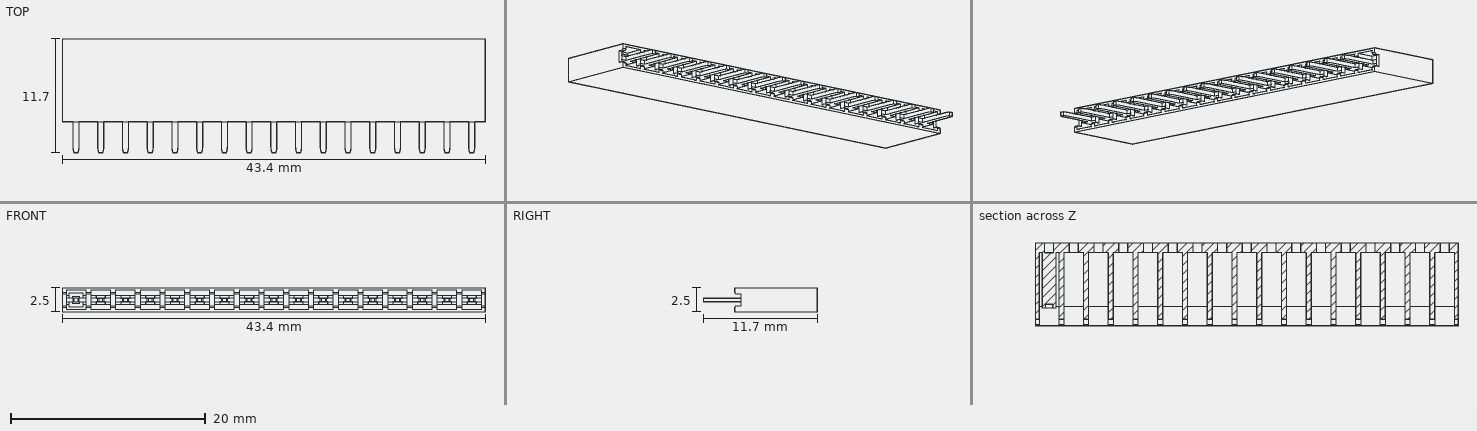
import cadquery as cq


pin_count = 17
pitch = 2.54
row_margin = 0.25
key_position = 0

housing_length = pin_count * pitch + row_margin
housing_depth = 8.5
housing_height = 2.5

channel_depth = 0.65
channel_height = 1.2
channel_mouth_height = 1.5
channel_flare_depth = 0.15

pocket_size = 2.0
pocket_depth = 2.0
contact_slot_height = 0.92
back_wall = 1.0
mating_hole_size = 0.9

contact_thickness = 0.4
blade_setback = 0.8
tail_width = 0.64
tail_length = 3.2
tail_tip_width = 0.4
tail_tip_length = 0.6

plug_size = 1.44
plug_recess_size = 0.72
plug_projection = 0.2
plug_recess_depth = 0.4

slot_end = housing_depth - back_wall
overlap = 0.05
pin_positions = [(i - (pin_count - 1) / 2) * pitch for i in range(pin_count)]


def block(x_center, width, height, y_start, y_end):
    """Box centred on the row plane, spanning y_start to y_end."""
    return (
        cq.Workplane("XY")
        .box(width, y_end - y_start, height)
        .translate((x_center, (y_start + y_end) / 2, 0))
    )


def make_channel():
    """Flared groove running the full length of the terminal face."""
    half_height = channel_height / 2
    half_mouth = channel_mouth_height / 2
    return (
        cq.Workplane("YZ")
        .moveTo(0, -half_mouth)
        .lineTo(channel_flare_depth, -half_height)
        .lineTo(channel_depth, -half_height)
        .lineTo(channel_depth, half_height)
        .lineTo(channel_flare_depth, half_height)
        .lineTo(0, half_mouth)
        .close()
        .extrude(housing_length / 2, both=True)
    )


def make_cavity(x):
    """Pocket, contact slot and mating hole of one position."""
    pocket = block(x, pocket_size, pocket_size, 0, pocket_depth)
    slot = block(x, pocket_size, contact_slot_height, 0, slot_end)
    hole = block(x, mating_hole_size, mating_hole_size, 0, housing_depth)
    return pocket.union(slot).union(hole)


def make_terminal(x):
    """Contact blade held in the cavity sides, with a tail rounded in toward its tip."""
    blade_width = pocket_size + 2 * overlap
    blade = block(x, blade_width, contact_thickness, blade_setback, slot_end + overlap)

    half_width = tail_width / 2
    half_tip = tail_tip_width / 2
    rounding_start = tail_tip_length - tail_length
    tail_root = blade_setback + overlap
    tail = (
        cq.Workplane("XY", origin=(x, 0, -contact_thickness / 2))
        .moveTo(0, tail_root)
        .lineTo(half_width, tail_root)
        .lineTo(half_width, rounding_start)
        .tangentArcPoint((half_tip, -tail_length), relative=False)
        .lineTo(0, -tail_length)
        .mirrorY()
        .extrude(contact_thickness)
    )
    return blade.union(tail)


def make_key_plug(x):
    """Square plug closing one cavity, recessed around the tail."""
    plug_front = pocket_depth - plug_projection
    plug = block(x, plug_size, plug_size, plug_front, slot_end)
    recess = block(x, plug_recess_size, plug_recess_size, plug_front, plug_front + plug_recess_depth)
    return plug.cut(recess)


housing = block(0, housing_length, housing_height, 0, housing_depth).cut(make_channel())
for x in pin_positions:
    housing = housing.cut(make_cavity(x))

result = housing.union(make_key_plug(pin_positions[key_position]))
for x in pin_positions:
    result = result.union(make_terminal(x))